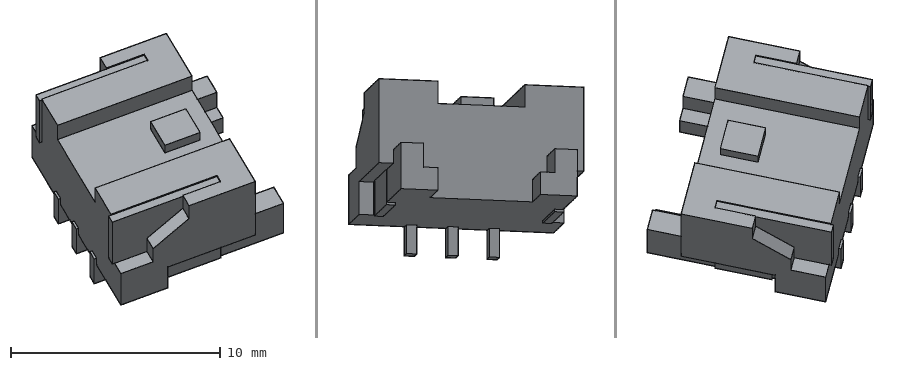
import cadquery as cq

width = 10.0
depth = 7.1
height = 5.7
half_width = width / 2
tab_inset = 0.7

channel_width = 4.23
channel_depth = 1.09
channel_floor = height - channel_depth
block_width = 1.6
block_height = 0.58
block_front = 4.3
block_back = 6.15

ledge_height = 2.41
ledge_depth = 1.71
relief_depth = 3.6
ramp_bottom = 3.42
ramp_top = 4.71

post_length = 1.82
post_wall = 1.1
post_height = 2.26
flange_width = 0.7
flange_height = 1.1
lower_relief_front = 2.48
lower_relief_height = 1.6

metal_overhang = 0.12
tab_thickness = 0.41
tab_back = 5.6
tab_top_gap = 0.08
foot_front = 2.8
foot_stand_out = 0.03
pin_count = 3
pin_pitch = 2.02
pin_width = 0.5
pin_embed = 0.5
pin_top = 0.5
pin_drop = 1.4


def box(x_range, y_range, z_range):
    """Box between the given limits on each axis."""
    lows, highs = zip(x_range, y_range, z_range)
    sizes = [high - low for low, high in zip(lows, highs)]
    return cq.Workplane("XY").box(*sizes, centered=False).translate(lows)


def both_sides(shape):
    """The shape together with its mirror image across the YZ plane."""
    return shape.union(shape.mirror("YZ"))


tab_outer = -half_width + tab_inset
tab_inner = tab_outer + tab_thickness


def make_housing():
    housing = box((-half_width, half_width), (0, depth), (0, height))
    channel = box((-channel_width / 2, channel_width / 2), (0, depth), (channel_floor, height))
    block = box(
        (-block_width / 2, block_width / 2),
        (block_front, block_back),
        (channel_floor, channel_floor + block_height),
    )
    return housing.cut(channel).union(block)


def make_upper_relief():
    outline = [
        (0, ledge_height),
        (ledge_depth, ledge_height),
        (ledge_depth, ramp_bottom),
        (relief_depth, ramp_top),
        (relief_depth, height),
        (0, height),
    ]
    relief = cq.Workplane("YZ").polyline(outline).close().extrude(tab_inset)
    return relief.translate((-half_width, 0, 0))


def make_lower_relief():
    return box((-half_width, tab_outer), (lower_relief_front, depth), (0, lower_relief_height))


def make_post():
    wall_inner = tab_outer + post_wall
    y_range = (depth, depth + post_length)
    wall = box((tab_outer, wall_inner), y_range, (0, post_height))
    flange = box((wall_inner, wall_inner + flange_width), y_range, (0, flange_height))
    return wall.union(flange)


def make_tab_slot():
    return box((tab_outer, tab_inner), (0, tab_back), (height - tab_top_gap, height))


def make_tab():
    plate = box(
        (tab_outer, tab_inner),
        (-metal_overhang, tab_back),
        (ledge_height, height - tab_top_gap),
    )
    foot = box(
        (tab_outer - foot_stand_out, tab_inner),
        (foot_front, tab_back),
        (-metal_overhang, lower_relief_height),
    )
    return plate.union(foot)


def make_pin(x_center):
    return box(
        (x_center - pin_width / 2, x_center + pin_width / 2),
        (-metal_overhang, pin_embed),
        (-pin_drop, pin_top),
    )


result = make_housing()
for make_cut in (make_upper_relief, make_lower_relief, make_tab_slot):
    result = result.cut(both_sides(make_cut()))
for make_addition in (make_post, make_tab):
    result = result.union(both_sides(make_addition()))
for index in range(pin_count):
    result = result.union(make_pin((index - (pin_count - 1) / 2) * pin_pitch))